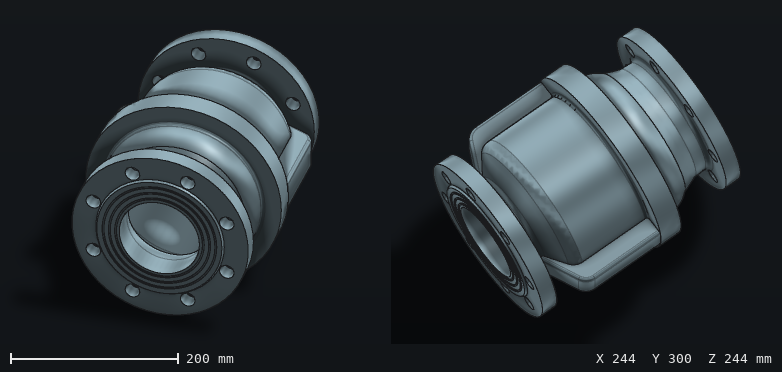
import cadquery as cq
import math

LENGTH = 300.0
REAR_END = LENGTH / 2
FRONT_END = -LENGTH / 2

FLANGE_RADIUS = 220.0 / 2
FLANGE_THICKNESS = 21.3
FACE_HEIGHT = 3.0
FACE_BASE_RADIUS = 80.0
FACE_TOP_RADIUS = 78.0
BORE_RADIUS = 100.0 / 2
FLANGE_BACK = LENGTH / 2 - FACE_HEIGHT - FLANGE_THICKNESS

BOLT_COUNT = 8
BOLT_HOLE_RADIUS = 18.0 / 2
BOLT_CIRCLE_RADIUS = 180.0 / 2

GROOVE_COUNT = 3
GROOVE_OUTER_RADIUS = 71.5
GROOVE_PITCH = 7.8
GROOVE_WIDTH = 2.0
GROOVE_DEPTH = 1.0

RING_RADIUS = 244.0 / 2
RING_REAR = -20.0
RING_THICKNESS = 30.0
RING_FRONT = RING_REAR - RING_THICKNESS
RING_MIDDLE = (RING_REAR + RING_FRONT) / 2

BARREL_RADIUS = 97.2
BULB_RADIUS = 97.8
REAR_NECK_RADIUS = 126.0 / 2
CONE_SMALL_Y = 110.5
CONE_LARGE_Y = 86.5
BULB_START = RING_FRONT - 4.2
WAIST_Y = -82.2
WAIST_RADIUS = 86.7
FRONT_NECK_Y = -104.0
FRONT_NECK_RADIUS = 78.3
FRONT_NECK_ROOT_RADIUS = 77.0

WALL = REAR_NECK_RADIUS - BORE_RADIUS
CAVITY_WAIST_RADIUS = 72.5
FLARE_START = FRONT_END + 31.5

SHOULDER_ROUND = 18.5
CONE_FOOT_ROUND = 6.5
RING_ROUND = 4.0
REAR_FLANGE_ROUND = 7.5
FRONT_FLANGE_ROUND = 6.0

RIB_REACH = 120.3
RIB_WIDTH = 40.2
RIB_CORNER_Y = 88.5
RIB_SLOPE = math.radians(25)
RIB_EDGE_ROUND = 4.2
RIB_ROOT_X = 52.5

TOLERANCE = 0.03


def disc(radius, start_y, end_y):
    """Solid cylinder on the valve axis between two Y positions."""
    plane = cq.Workplane("XZ", origin=(0, end_y, 0))
    return plane.circle(radius).extrude(end_y - start_y)


def revolve_about_axis(outline):
    """Revolve a closed XY outline about the valve axis."""
    return outline.close().revolve(360, (0, 0, 0), (0, 1, 0))


def round_circle(part, y, radius, size):
    """Fillet the circular edge that has the given Y position and radius."""

    def is_wanted(edge):
        same_place = abs(edge.Center().y - y) < TOLERANCE
        return same_place and abs(edge.radius() - radius) < TOLERANCE

    return part.edges("%CIRCLE").filter(is_wanted).fillet(size)


def make_body():
    outline = (
        cq.Workplane("XY")
        .moveTo(0, FLANGE_BACK)
        .lineTo(REAR_NECK_RADIUS, FLANGE_BACK)
        .lineTo(REAR_NECK_RADIUS, CONE_SMALL_Y)
        .lineTo(BARREL_RADIUS, CONE_LARGE_Y)
        .lineTo(BARREL_RADIUS, RING_MIDDLE)
        .lineTo(BULB_RADIUS, RING_MIDDLE)
        .lineTo(BULB_RADIUS, BULB_START)
        .tangentArcPoint((WAIST_RADIUS, WAIST_Y), relative=False)
        .lineTo(FRONT_NECK_RADIUS, FRONT_NECK_Y)
        .lineTo(FRONT_NECK_ROOT_RADIUS, -FLANGE_BACK)
        .lineTo(0, -FLANGE_BACK)
    )
    body = revolve_about_axis(outline)
    body = round_circle(body, CONE_SMALL_Y, REAR_NECK_RADIUS, CONE_FOOT_ROUND)
    return round_circle(body, CONE_LARGE_Y, BARREL_RADIUS, SHOULDER_ROUND)


def make_rear_flange():
    """Rear flange with its tapered raised face."""
    face_base = REAR_END - FACE_HEIGHT
    outline = (
        cq.Workplane("XY")
        .moveTo(0, FLANGE_BACK)
        .lineTo(FLANGE_RADIUS, FLANGE_BACK)
        .lineTo(FLANGE_RADIUS, face_base)
        .lineTo(FACE_BASE_RADIUS, face_base)
        .lineTo(FACE_TOP_RADIUS, REAR_END)
        .lineTo(0, REAR_END)
    )
    flange = revolve_about_axis(outline)
    for index in range(GROOVE_COUNT):
        outer = GROOVE_OUTER_RADIUS - index * GROOVE_PITCH
        groove_floor = REAR_END - GROOVE_DEPTH
        groove = disc(outer, groove_floor, REAR_END)
        groove = groove.cut(disc(outer - GROOVE_WIDTH, groove_floor, REAR_END))
        flange = flange.cut(groove)
    return flange


def make_rear_bolt_holes():
    """Bolt hole cutters, long enough to clear the fillet behind the flange."""
    half_step = 180 / BOLT_COUNT
    depth = REAR_END - FLANGE_BACK + REAR_FLANGE_ROUND
    return (
        cq.Workplane("XZ", origin=(0, REAR_END, 0))
        .polarArray(BOLT_CIRCLE_RADIUS, half_step, 360, BOLT_COUNT)
        .circle(BOLT_HOLE_RADIUS)
        .extrude(depth)
    )


def make_rib():
    """Rib on the +X side; its root and front end lie inside the body and ring."""
    root_y = RIB_CORNER_Y + (RIB_REACH - RIB_ROOT_X) * math.tan(RIB_SLOPE)
    rib = (
        cq.Workplane("XY")
        .moveTo(RIB_ROOT_X, RING_MIDDLE)
        .lineTo(RIB_REACH, RING_MIDDLE)
        .lineTo(RIB_REACH, RIB_CORNER_Y)
        .lineTo(RIB_ROOT_X, root_y)
        .close()
        .extrude(RIB_WIDTH / 2, both=True)
    )
    rib = rib.faces(">X").edges(">Y").fillet(SHOULDER_ROUND)
    return rib.faces("|Z").edges().fillet(RIB_EDGE_ROUND)


def make_cavity():
    """Through bore that widens inside the body, leaving a near-even wall there."""
    cone_half_angle = math.atan2(BARREL_RADIUS - REAR_NECK_RADIUS, CONE_SMALL_Y - CONE_LARGE_Y) / 2
    cone_shift = WALL * math.tan(cone_half_angle)
    outline = (
        cq.Workplane("XY")
        .moveTo(0, REAR_END)
        .lineTo(BORE_RADIUS, REAR_END)
        .lineTo(BORE_RADIUS, CONE_SMALL_Y - cone_shift)
        .lineTo(BARREL_RADIUS - WALL, CONE_LARGE_Y - cone_shift)
        .lineTo(BARREL_RADIUS - WALL, BULB_START)
        .tangentArcPoint((CAVITY_WAIST_RADIUS, WAIST_Y), relative=False)
        .lineTo(0, WAIST_Y)
    )
    chamber = revolve_about_axis(outline)
    flare = (
        cq.Workplane("XY")
        .moveTo(0, FRONT_END)
        .lineTo(BORE_RADIUS, FRONT_END)
        .lineTo(BORE_RADIUS, FLARE_START)
        .tangentArcPoint((CAVITY_WAIST_RADIUS, WAIST_Y), relative=False)
        .lineTo(0, WAIST_Y)
    )
    return chamber.union(revolve_about_axis(flare))


rear_flange = make_rear_flange()
front_flange = rear_flange.mirror("XZ")
ring = disc(RING_RADIUS, RING_FRONT, RING_REAR)

result = make_body().union(rear_flange).union(front_flange).union(ring)
result = round_circle(result, FLANGE_BACK, REAR_NECK_RADIUS, REAR_FLANGE_ROUND)
result = round_circle(result, -FLANGE_BACK, FRONT_NECK_ROOT_RADIUS, FRONT_FLANGE_ROUND)
result = round_circle(result, RING_REAR, BARREL_RADIUS, RING_ROUND)
result = round_circle(result, RING_FRONT, BULB_RADIUS, RING_ROUND)

rib = make_rib()
result = result.union(rib).union(rib.mirror("YZ"))
result = result.cut(make_cavity())

rear_bolt_holes = make_rear_bolt_holes()
result = result.cut(rear_bolt_holes).cut(rear_bolt_holes.mirror("XZ"))